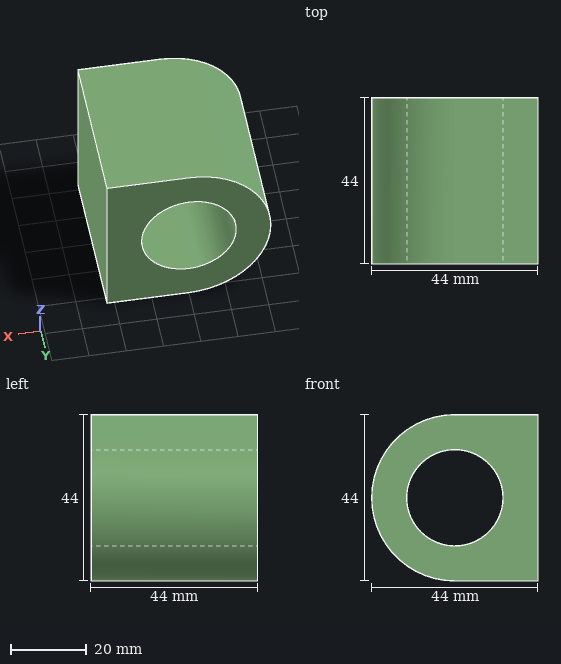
import cadquery as cq

width = 44.0
length = 44.0
bore_diameter = 25.4

end_radius = width / 2

body = (
    cq.Workplane("XZ")
    .moveTo(0, end_radius)
    .lineTo(end_radius, end_radius)
    .lineTo(end_radius, -end_radius)
    .lineTo(0, -end_radius)
    .threePointArc((-end_radius, 0), (0, end_radius))
    .close()
    .extrude(length / 2, both=True)
)

bore = cq.Workplane("XZ").circle(bore_diameter / 2).extrude(length / 2, both=True)

result = body.cut(bore)